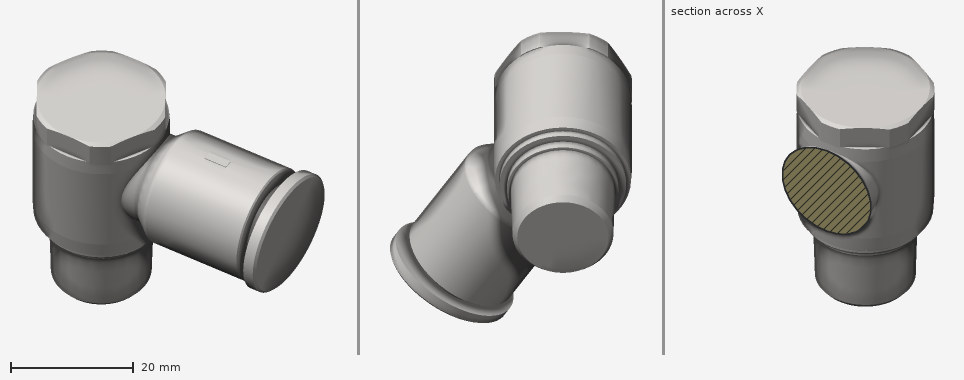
import cadquery as cq
import math

thread_tip_dia = 14.9
thread_end_dia = 16.45
thread_root_dia = 17.1
lower_collar_dia = 18.2
upper_collar_dia = 20.6
body_dia = 22.45
body_end_dia = 22.15

thread_chamfer_top = 1.0
thread_top = 12.0
lower_collar_top = 13.5
upper_collar_top = 14.7
lower_taper_top = 17.3
upper_taper_bottom = 33.3
hex_bottom = 35.8
total_height = 39.8

hex_sides = 6
hex_across_flats = 21.0
hex_corner_dia = 22.5
hex_chamfer_height = 0.3

branch_height = 26.75
neck_end = 11.25
shell_start = 14.1
shell_end = 31.85
shell_chamfer = 0.25
collet_start = 33.7
collet_end = 35.9

neck_dia = 15.1
shell_dia = 19.8
sleeve_dia = 14.4

neck_fillet = 0.7
shell_fillet = 1.0
edge_margin = 0.05

collet_width = 22.5
collet_height = 19.4
collet_chamfer = 0.4

mark_start = 20.0
mark_length = 4.1
mark_width = 1.5
mark_rise = 0.1


def make_stem():
    """Revolved stem: tapered thread, two collars and the main body."""
    outline = [
        (0, 0),
        (thread_tip_dia / 2, 0),
        (thread_end_dia / 2, thread_chamfer_top),
        (thread_root_dia / 2, thread_top),
        (lower_collar_dia / 2, thread_top),
        (lower_collar_dia / 2, lower_collar_top),
        (upper_collar_dia / 2, lower_collar_top),
        (upper_collar_dia / 2, upper_collar_top),
        (body_end_dia / 2, upper_collar_top),
        (body_dia / 2, lower_taper_top),
        (body_dia / 2, upper_taper_bottom),
        (body_end_dia / 2, hex_bottom),
        (0, hex_bottom),
    ]
    return cq.Workplane("XZ").polyline(outline).close().revolve(360, (0, 0, 0), (0, 1, 0))


def make_hex_head():
    """Hexagon with flats on +Y and -Y, its corners trimmed by a chamfered cylinder."""
    across_corners = hex_across_flats / math.cos(math.pi / hex_sides)
    head_height = total_height - hex_bottom
    hexagon = (
        cq.Workplane("XY")
        .workplane(offset=hex_bottom)
        .polygon(hex_sides, across_corners)
        .extrude(head_height)
    )
    chamfer_width = (hex_corner_dia - hex_across_flats) / 2
    envelope = (
        cq.Workplane("XY")
        .workplane(offset=hex_bottom)
        .circle(hex_corner_dia / 2)
        .extrude(head_height)
        .faces(">Z")
        .edges()
        .chamfer(hex_chamfer_height, chamfer_width)
    )
    return hexagon.intersect(envelope)


def round_ring(body, distance, diameter, radius):
    """Fillet the circular edge of a body around the X axis at a given distance along it."""
    lower = (distance - edge_margin, -diameter, -diameter)
    upper = (distance + edge_margin, diameter, diameter)
    ring = body.edges(cq.selectors.BoxSelector(lower, upper, boundingbox=True))
    return ring.fillet(radius)


def make_branch():
    """Revolved branch: neck, cone, shell and the sleeve that carries the collet."""
    outline = [
        (0, 0),
        (0, neck_dia / 2),
        (neck_end, neck_dia / 2),
        (shell_start, shell_dia / 2),
        (shell_end - shell_chamfer, shell_dia / 2),
        (shell_end, shell_dia / 2 - shell_chamfer),
        (shell_end, sleeve_dia / 2),
        (collet_start, sleeve_dia / 2),
        (collet_start, 0),
    ]
    profile = cq.Workplane("XZ").polyline(outline).close()
    branch = profile.revolve(360, (0, 0, 0), (1, 0, 0))
    branch = round_ring(branch, neck_end, neck_dia, neck_fillet)
    branch = round_ring(branch, shell_start, shell_dia, shell_fillet)
    return branch.translate((0, 0, branch_height))


def make_collet():
    """Oval plate at the branch mouth with its outer rim chamfered."""
    return (
        cq.Workplane("YZ", origin=(collet_start, 0, branch_height))
        .ellipse(collet_width / 2, collet_height / 2)
        .extrude(collet_end - collet_start)
        .faces(">X")
        .edges()
        .chamfer(collet_chamfer)
    )


def make_mark():
    """Small rectangular pad standing slightly proud of the shell."""
    mark_height = shell_dia / 2 + mark_rise
    pad = cq.Workplane("XY").box(mark_length, mark_width, mark_height, centered=(False, True, False))
    return pad.translate((mark_start, 0, branch_height))


result = make_stem()
for feature in (make_hex_head(), make_branch(), make_collet(), make_mark()):
    result = result.union(feature)